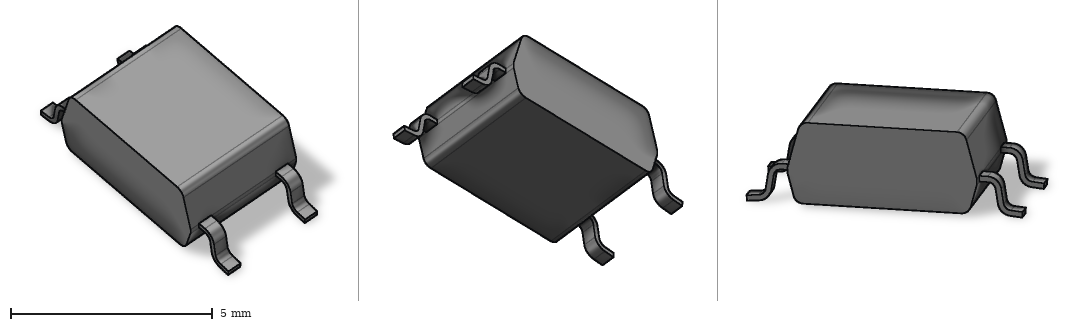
import cadquery as cq
import math

overall_length = 7.0
body_length = 4.8
body_width = 3.51
body_top = 2.2
body_bottom = 0.1
draft_angle = math.radians(15)
body_corner_radius = 0.25

lead_thickness = 0.15
lead_width = 0.405
lead_pitch = 2.54
lead_top = 1.015
bend_inner_radius = 0.2
shank_lean = math.radians(9)
foot_tilt = math.radians(5)
foot_length = 0.3

lead_bottom = lead_top - lead_thickness
bend_outer_radius = bend_inner_radius + lead_thickness


def make_body():
    """Package with drafted ends above and below a flat band as tall as a lead."""
    half = body_length / 2
    top_half = half - (body_top - lead_top) * math.tan(draft_angle)
    bottom_half = half - (lead_bottom - body_bottom) * math.tan(draft_angle)
    outline = [
        (-bottom_half, body_bottom),
        (bottom_half, body_bottom),
        (half, lead_bottom),
        (half, lead_top),
        (top_half, body_top),
        (-top_half, body_top),
        (-half, lead_top),
        (-half, lead_bottom),
    ]
    block = cq.Workplane("XZ").polyline(outline).close().extrude(body_width / 2, both=True)
    return block.edges("|Y and (>Z or <Z)").fillet(body_corner_radius)


def polar(start, distance, angle):
    """Point at a distance and angle from another point."""
    return (start[0] + distance * math.cos(angle), start[1] + distance * math.sin(angle))


def make_lead(y_center):
    """Gull-wing lead on the -X end: flat shoulder, leaning shank, tilted foot."""
    shoulder_start = math.pi / 2
    shoulder_end = math.pi - shank_lean
    foot_bend_start = -shank_lean
    foot_bend_end = -math.pi / 2 + foot_tilt
    toe_direction = math.pi + foot_tilt

    foot_bend = (
        -overall_length / 2 + foot_length * math.cos(foot_tilt) - bend_inner_radius * math.sin(foot_tilt),
        foot_length * math.sin(foot_tilt) + bend_outer_radius * math.cos(foot_tilt),
    )

    shoulder_z = lead_bottom - bend_inner_radius
    radius_sum = bend_outer_radius + bend_inner_radius
    shank_rise = shoulder_z + radius_sum * math.sin(shank_lean) - foot_bend[1]
    shank_run = shank_rise * math.tan(shank_lean)
    shoulder_bend = (foot_bend[0] + radius_sum * math.cos(shank_lean) + shank_run, shoulder_z)

    shoulder_middle = (shoulder_start + shoulder_end) / 2
    foot_bend_middle = (foot_bend_start + foot_bend_end) / 2
    upper_foot = polar(foot_bend, bend_inner_radius, foot_bend_end)
    lower_foot = polar(foot_bend, bend_outer_radius, foot_bend_end)

    profile = (
        cq.Workplane("XZ", origin=(0, y_center, 0))
        .moveTo(-body_length / 2, lead_top)
        .lineTo(*polar(shoulder_bend, bend_outer_radius, shoulder_start))
        .threePointArc(
            polar(shoulder_bend, bend_outer_radius, shoulder_middle),
            polar(shoulder_bend, bend_outer_radius, shoulder_end),
        )
        .lineTo(*polar(foot_bend, bend_inner_radius, foot_bend_start))
        .threePointArc(polar(foot_bend, bend_inner_radius, foot_bend_middle), upper_foot)
        .lineTo(*polar(upper_foot, foot_length, toe_direction))
        .lineTo(*polar(lower_foot, foot_length, toe_direction))
        .lineTo(*lower_foot)
        .threePointArc(
            polar(foot_bend, bend_outer_radius, foot_bend_middle),
            polar(foot_bend, bend_outer_radius, foot_bend_start),
        )
        .lineTo(*polar(shoulder_bend, bend_inner_radius, shoulder_end))
        .threePointArc(
            polar(shoulder_bend, bend_inner_radius, shoulder_middle),
            polar(shoulder_bend, bend_inner_radius, shoulder_start),
        )
        .lineTo(-body_length / 2, lead_bottom)
        .close()
    )
    return profile.extrude(lead_width / 2, both=True)


body = make_body()

leads = []
for y_center in (-lead_pitch / 2, lead_pitch / 2):
    lead = make_lead(y_center)
    leads.append(lead.val())
    leads.append(lead.mirror("YZ").val())

result = cq.Compound.makeCompound([body.val(), *leads])